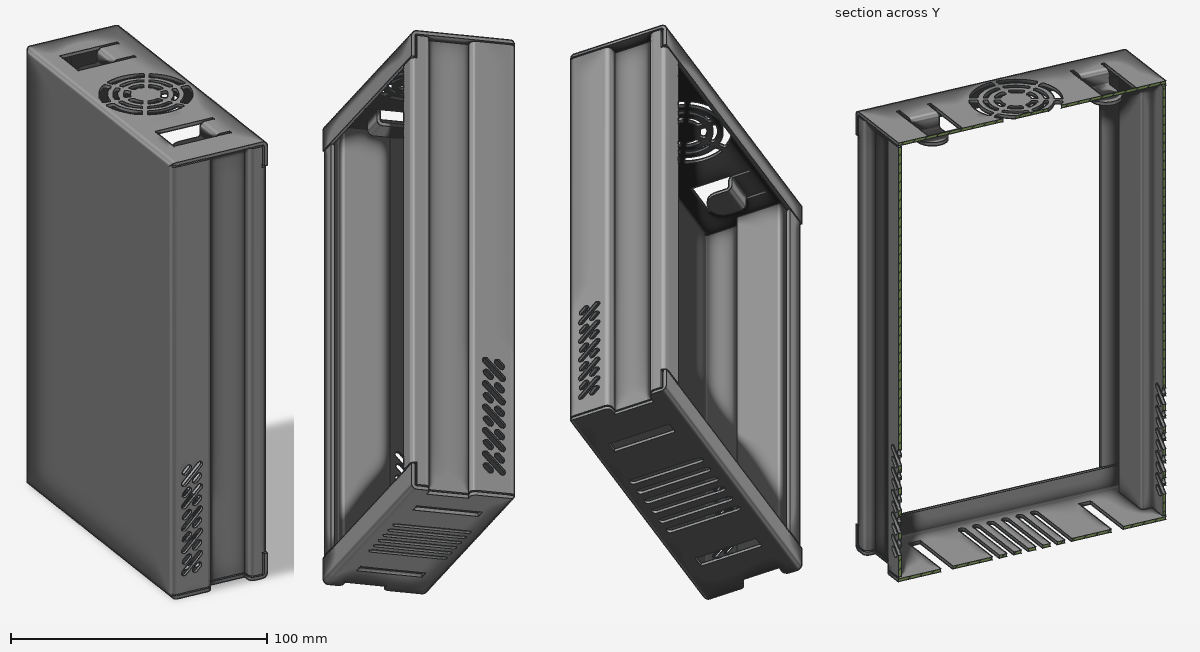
import cadquery as cq
import math


WIDTH = 119.0
DEPTH = 42.6
HEIGHT = 189.5
SHEET = 1.42
INNER_BEND = 0.85
OUTER_BEND = SHEET + INNER_BEND
GAP = 0.5
SLIT_START = 0.8

HALF_W = WIDTH / 2
HALF_D = DEPTH / 2
HALF_H = HEIGHT / 2

FLANGE = 10.6

GROOVE_DEPTH = 4.5
GROOVE_BACK = 13.6
GROOVE_FRONT = -3.2

FAN_RINGS = [(6.0, 8.7), (11.0, 12.9), (15.0, 18.4)]
GRILLE_Y = -0.2
SPOKES = 6
SPOKE_WIDTH = 1.9
RING_CORNER = 0.8

TABS = [(-38.6, 5.1), (38.6, 8.3)]
TAB_WINDOW = (15.2, 25.5)
TAB_ROOT = 12.5
TAB_WIDTH = 12.5
TAB_DROP = 6.0
TAB_TIP = -8.9

GRILLE_SLOTS = 6
GRILLE_PITCH = 6.5
GRILLE_SLOT = (31.8, 3.0)
BOTTOM_WINDOW = (5.3, 26.5)
BOTTOM_WINDOW_X = 37.9

VENTS = 5
VENT_PITCH = 9.7
VENT_Y = -12.3
VENT_TOP_Z = -42.0
VENT_WIDTH = 2.5
VENT_LONG = 12.1
VENT_SHORT = 4.7
VENT_OFFSET = 2.3
VENT_ANGLE = 45


def block(x_range, y_range, z_range):
    """Axis-aligned box between the given limits."""
    size = [high - low for low, high in (x_range, y_range, z_range)]
    corner = (x_range[0], y_range[0], z_range[0])
    return cq.Workplane("XY").box(*size, centered=False).translate(corner)


def groove_cutter(side):
    """Full-height groove of one side wall, with rounded lips."""
    floor = HALF_W - GROOVE_DEPTH
    back = GROOVE_BACK
    front = GROOVE_FRONT
    lip = OUTER_BEND
    bulge = lip * (1 - math.sqrt(0.5))
    cutter = (
        cq.Workplane("XY")
        .workplane(offset=-HALF_H)
        .moveTo(HALF_W, back + lip)
        .threePointArc((HALF_W - bulge, back + bulge), (HALF_W - lip, back))
        .lineTo(floor, back)
        .lineTo(floor, front)
        .lineTo(HALF_W - lip, front)
        .threePointArc((HALF_W - bulge, front - bulge), (HALF_W, front - lip))
        .close()
        .extrude(HEIGHT)
    )
    return cutter if side > 0 else cutter.mirror("YZ")


def envelope():
    """Plain block of the overall size."""
    return cq.Workplane("XY").box(WIDTH, DEPTH, HEIGHT)


def channel():
    """Front sheet with top and bottom plates and their return flanges."""
    outer = envelope().edges("|X").fillet(OUTER_BEND)
    cavity = cq.Workplane("XY").box(WIDTH, DEPTH - 2 * SHEET, HEIGHT - 2 * SHEET)
    cavity = cavity.edges("|X").fillet(INNER_BEND)
    opening_h = HALF_H - FLANGE
    opening = block((-HALF_W, HALF_W), (0, HALF_D), (-opening_h, opening_h))
    corners = envelope().edges("|Z and <Y").fillet(OUTER_BEND)
    bent = outer.cut(cavity).cut(opening).intersect(corners)
    foot = block((-HALF_W, HALF_W), (-HALF_D, HALF_D), (-HALF_H, -HALF_H + SHEET))
    for side in (-1, 1):
        bent = bent.cut(groove_cutter(side).intersect(foot))
    return bent


def side_walls():
    """Both grooved walls with their rear flanges and front bends."""
    outer = envelope().edges("|Z").fillet(OUTER_BEND)
    for side in (-1, 1):
        outer = outer.cut(groove_cutter(side))
    section = outer.faces("<Z").wires()
    inner = section.toPending().offset2D(-SHEET).extrude(HEIGHT, combine=False)
    opening_w = HALF_W - FLANGE
    opening = block((-opening_w, opening_w), (0, HALF_D), (-HALF_H, HALF_H))
    walls = outer.cut(inner).cut(opening)
    for end in (-1, 1):
        gap_z = sorted((end * (HALF_H - SHEET - GAP), end * HALF_H))
        walls = walls.cut(block((-HALF_W, HALF_W), (-HALF_D + SHEET, HALF_D), gap_z))
        relief_z = sorted((end * (HALF_H - FLANGE - GAP), end * HALF_H))
        relief_y = (HALF_D - OUTER_BEND, HALF_D)
        walls = walls.cut(block((-HALF_W, HALF_W), relief_y, relief_z))
    return walls.intersect(envelope().edges("|X").fillet(OUTER_BEND))


def corner_gap_cutter():
    """Slits that part the side walls from the end plates around the front corners."""
    slit_y = (-HALF_D + SLIT_START, -HALF_D + OUTER_BEND)
    cutter = cq.Workplane("XY")
    for side in (-1, 1):
        slit_x = sorted((side * (HALF_W - OUTER_BEND), side * HALF_W))
        for end in (-1, 1):
            slit_z = sorted((end * (HALF_H - SHEET - GAP), end * (HALF_H - SHEET)))
            cutter = cutter.add(block(slit_x, slit_y, slit_z))
    return cutter.combine()


def fan_cutter():
    """Concentric ring openings split by radial spokes."""
    plate = cq.Workplane("XY").workplane(offset=HALF_H - SHEET).center(0, GRILLE_Y)
    cutter = cq.Workplane("XY")
    for inner, outer in FAN_RINGS:
        cutter = cutter.add(plate.circle(outer).circle(inner).extrude(SHEET))
    cutter = cutter.combine()
    reach = 2 * FAN_RINGS[-1][1]
    for i in range(SPOKES // 2):
        turned = plate.transformed(rotate=(0, 0, 90 + i * 360 / SPOKES))
        cutter = cutter.cut(turned.rect(reach, SPOKE_WIDTH).extrude(SHEET))
    return cutter.edges("|Z").fillet(RING_CORNER)


def tab_window(center_x):
    """Rectangular opening that holds one tab."""
    plate = cq.Workplane("XY").workplane(offset=HALF_H - SHEET)
    return plate.center(center_x, TAB_ROOT - TAB_WINDOW[1] / 2).rect(*TAB_WINDOW).extrude(SHEET)


def tab(center_x, bend_y):
    """Tab stepped down into the case, ending in a full round."""
    root = TAB_ROOT
    step = bend_y - OUTER_BEND
    floor = HALF_H - TAB_DROP
    profile = [
        (root, HALF_H), (step, HALF_H), (step, floor), (TAB_TIP, floor),
        (TAB_TIP, floor - SHEET), (step + SHEET, floor - SHEET),
        (step + SHEET, HALF_H - SHEET), (root, HALF_H - SHEET),
    ]
    strip = cq.Workplane("YZ").polyline(profile).close().extrude(TAB_WIDTH / 2, both=True)

    def bend(solid, y, z, radius):
        return solid.edges(cq.selectors.NearestToPointSelector((0, y, z))).fillet(radius)

    strip = bend(strip, step, HALF_H, OUTER_BEND)
    strip = bend(strip, step, floor, INNER_BEND)
    strip = bend(strip, step + SHEET, floor - SHEET, OUTER_BEND)
    strip = bend(strip, step + SHEET, HALF_H - SHEET, INNER_BEND)
    radius = TAB_WIDTH / 2
    shoulder = TAB_TIP + radius
    plan = (
        cq.Workplane("XY")
        .moveTo(radius, root)
        .lineTo(radius, shoulder)
        .threePointArc((0, TAB_TIP), (-radius, shoulder))
        .lineTo(-radius, root)
        .close()
        .extrude(HALF_H)
    )
    return strip.intersect(plan).translate((center_x, 0, 0))


def bottom_cutter():
    """Row of obround slots and two windows below the tabs."""
    plate = cq.Workplane("XY").workplane(offset=-HALF_H)
    slot_spots = plate.center(0, GRILLE_Y).rarray(GRILLE_PITCH, 1.9, GRILLE_SLOTS, 1)
    slots = slot_spots.slot2D(*GRILLE_SLOT, 90).extrude(SHEET)
    window_spots = plate.pushPoints([(-BOTTOM_WINDOW_X, 0), (BOTTOM_WINDOW_X, 0)])
    windows = window_spots.rect(*BOTTOM_WINDOW).extrude(SHEET)
    return slots.add(windows).combine()


def vent_cutter():
    """Diagonal slots, each long one flanked by two short ones."""
    long_spots = []
    short_spots = []
    for i in range(VENTS):
        z = VENT_TOP_Z - i * VENT_PITCH
        long_spots.append((VENT_Y, z))
        short_spots.append((VENT_Y - VENT_OFFSET, z + VENT_OFFSET))
        short_spots.append((VENT_Y + VENT_OFFSET, z - VENT_OFFSET))

    def slots(spots, length):
        outlines = cq.Workplane("YZ").pushPoints(spots).slot2D(length, VENT_WIDTH, VENT_ANGLE)
        return outlines.extrude(HALF_W, both=True)

    return slots(long_spots, VENT_LONG).add(slots(short_spots, VENT_SHORT)).combine()


result = channel().union(side_walls())
for cutter in (corner_gap_cutter(), fan_cutter(), bottom_cutter(), vent_cutter()):
    result = result.cut(cutter)
for tab_x, tab_bend_y in TABS:
    result = result.cut(tab_window(tab_x)).union(tab(tab_x, tab_bend_y))